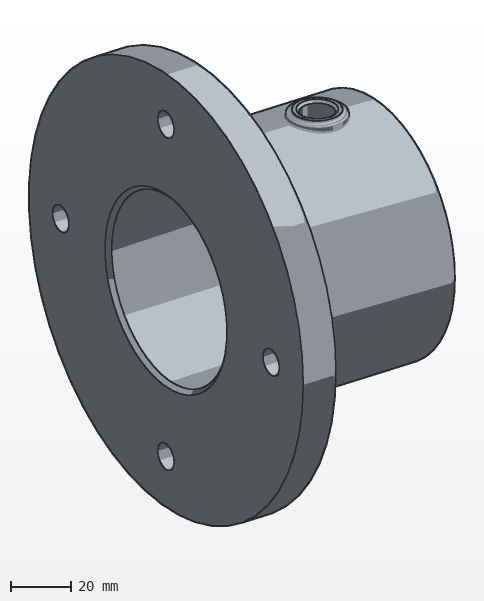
import cadquery as cq

flange_radius = 81.3
flange_thickness = 14.1
flange_edge_fillet = 2.1

total_length = 84.8
hub_radius = 47.5
hub_edge_fillet = 2.0
hub_root_fillet = 3.5

bore_radius = 34.5
bore_chamfer = 1.6

hole_count = 4
hole_diameter = 9.6
hole_circle_radius = 62.2

port_y = 60.8
port_bore_radius = 6.0
port_mouth_radius = 7.0
port_rim_radius = 8.5
port_collar_radius = 10.5
port_height = 2.8
port_collar_height = 1.6
port_rim_fillet = 0.8
port_collar_round = 0.5
port_root_fillet = 1.0


def make_body():
    """Revolve the flange and hub about the Y axis, with the bore open."""
    profile = (
        cq.Workplane("XY")
        .moveTo(bore_radius + bore_chamfer, 0)
        .lineTo(flange_radius, 0)
        .lineTo(flange_radius, flange_thickness - flange_edge_fillet)
        .radiusArc((flange_radius - flange_edge_fillet, flange_thickness), -flange_edge_fillet)
        .lineTo(hub_radius + hub_root_fillet, flange_thickness)
        .radiusArc((hub_radius, flange_thickness + hub_root_fillet), hub_root_fillet)
        .lineTo(hub_radius, total_length - hub_edge_fillet)
        .radiusArc((hub_radius - hub_edge_fillet, total_length), -hub_edge_fillet)
        .lineTo(bore_radius, total_length)
        .lineTo(bore_radius, bore_chamfer)
        .close()
    )
    return profile.revolve(360, (0, 0, 0), (0, 1, 0))


def make_port():
    """Round collar with a smaller raised rim, starting inside the hub wall."""
    root_z = (bore_radius + hub_radius) / 2
    collar_z = hub_radius + port_collar_height
    rim_z = hub_radius + port_height
    profile = (
        cq.Workplane("XZ")
        .moveTo(0, root_z)
        .lineTo(port_collar_radius, root_z)
        .lineTo(port_collar_radius, collar_z - port_collar_round)
        .radiusArc((port_collar_radius - port_collar_round, collar_z), -port_collar_round)
        .lineTo(port_rim_radius + port_rim_fillet, collar_z)
        .radiusArc((port_rim_radius, collar_z + port_rim_fillet), port_rim_fillet)
        .lineTo(port_rim_radius, rim_z)
        .lineTo(0, rim_z)
        .close()
    )
    return profile.revolve(360, (0, 0, 0), (0, 1, 0)).translate((0, port_y, 0))


def blend_port_root(part):
    """Fillet the curved edge where the collar wall meets the hub."""
    half_width = port_collar_radius + port_root_fillet
    lowest_z = (hub_radius**2 - half_width**2) ** 0.5
    root_region = cq.selectors.BoxSelector(
        (-half_width, port_y - half_width, lowest_z),
        (half_width, port_y + half_width, hub_radius + port_root_fillet),
        boundingbox=True,
    )
    return part.edges(root_region).edges("not %CIRCLE").edges("not %LINE").fillet(port_root_fillet)


def make_port_bore():
    """Radial hole from the port mouth into the bore, with a chamfered mouth."""
    top_z = hub_radius + port_height
    mouth_depth = port_mouth_radius - port_bore_radius
    outline = [
        (0, 0),
        (port_bore_radius, 0),
        (port_bore_radius, top_z - mouth_depth),
        (port_mouth_radius, top_z),
        (0, top_z),
    ]
    cutter = cq.Workplane("XZ").polyline(outline).close().revolve(360, (0, 0, 0), (0, 1, 0))
    return cutter.translate((0, port_y, 0))


def make_mounting_holes():
    """Equally spaced cutters through the flange, on the X and Z axes."""
    return (
        cq.Workplane("XZ")
        .polarArray(hole_circle_radius, 0, 360, hole_count)
        .circle(hole_diameter / 2)
        .extrude(-flange_thickness)
    )


part = blend_port_root(make_body().union(make_port()))
result = part.cut(make_port_bore()).cut(make_mounting_holes())